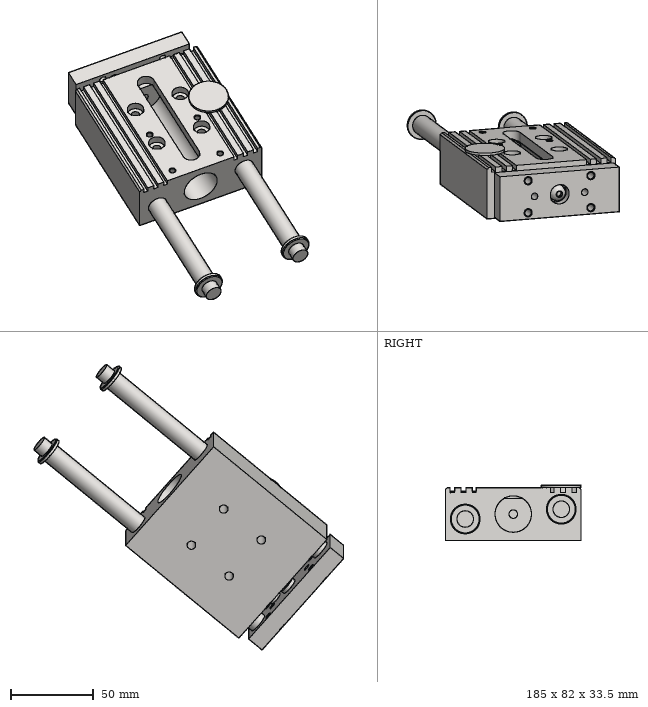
import cadquery as cq
import math


total_length = 185
plate_thickness = 10.7
housing_start = 16.0
housing_length = 90.1
housing_end = housing_start + housing_length

housing_width = 82.0
housing_height = 32.0
housing_chamfer = 1.1
mid_height = housing_height / 2

groove_edges = [(22.4, 24.8), (28.7, 31.5), (35.5, 38.1)]
groove_depth = 3.0

bore_diameter = 22.0
bore_start = 27.0
slot_width = 10.5
slot_depth = 6.5
slot_start = 24.0
slot_end = 97.7

mount_spacing = 30.0
mount_center_x = 60.9
mount_hole_diameter = 5.2
mount_counterbore_diameter = 10.0
mount_counterbore_depth = 5.0

tapped_spacing = 32.0
tapped_center_x = 83.8
tapped_mouth_diameter = 4.0
tapped_diameter = 3.3
tapped_depth = 8.0
drill_point_angle = 118

disc_diameter = 24
disc_thickness = 1.5
disc_boss_diameter = 20.0
disc_center_x = 56.5
disc_center_y = (housing_width - disc_diameter) / 2

plate_width = 76.0
plate_height = 28.0
corner_hole_spacing_y = 40.0
corner_hole_spacing_z = 20.0
corner_hole_diameter = 4.0
corner_hole_mouth_diameter = 5.0
side_hole_spacing = 32.0
side_hole_diameter = 4.0

rod_diameter = 12.0
rod_y = 29.0
rod_z_offset = 3.0
rod_places = [(-rod_y, mid_height - rod_z_offset), (rod_y, mid_height + rod_z_offset)]
collar_diameter = 18.0
collar_start = 176.7
collar_thickness = 2.2
collar_chamfer = 0.5
rod_tip_diameter = 10.0

piston_rod_diameter = 5.2
nut_diameter = 10.5
nut_thickness = 2.2
screw_recess_diameter = 12.0
screw_recess_depth = 5.5
screw_head_diameter = 10.0
screw_head_height = 5.0
screw_flat_diameter = 4.0
socket_diameter = 3.3
socket_depth = 2.0

stop_pin_diameter = 8.0
stop_pin_y = -12.5
stop_pin_z = 22.4


def x_cylinder(diameter, start, end, y=0, z=mid_height):
    """Cylinder along X from start to end."""
    return cq.Workplane("YZ", origin=(start, y, z)).circle(diameter / 2).extrude(end - start)


def square_points(center_x, spacing):
    """Corners of a square pattern around (center_x, 0)."""
    half = spacing / 2
    return [(center_x + sx * half, sy * half) for sx in (-1, 1) for sy in (-1, 1)]


def make_tapped_hole(x, y):
    """Blind hole with a chamfered mouth and a drill point, opening at the top of the housing."""
    radius = tapped_diameter / 2
    mouth_radius = tapped_mouth_diameter / 2
    mouth_depth = mouth_radius - radius
    point_depth = radius / math.tan(math.radians(drill_point_angle / 2))
    profile = [
        (0, 0),
        (mouth_radius, 0),
        (radius, -mouth_depth),
        (radius, -tapped_depth),
        (0, -tapped_depth - point_depth),
    ]
    hole = cq.Workplane("XZ").polyline(profile).close().revolve(360, (0, 0), (0, 1))
    return hole.translate((x, y, housing_height))


def make_housing():
    """Block with rod bores, top grooves, slot, mounting holes and the round disc."""
    block = cq.Workplane("XY").box(
        housing_length, housing_width, housing_height, centered=(False, True, False)
    )
    block = block.faces(">Z").edges("|X").chamfer(housing_chamfer)
    housing = block.translate((housing_start, 0, 0))

    for inner, outer in groove_edges:
        for side in (-1, 1):
            groove = cq.Workplane("XY").box(
                housing_length, outer - inner, groove_depth, centered=(False, True, False)
            )
            groove_y = side * (inner + outer) / 2
            housing = housing.cut(groove.translate((housing_start, groove_y, housing_height - groove_depth)))

    slot = (
        cq.Workplane("XY", origin=((slot_start + slot_end) / 2, 0, housing_height))
        .slot2D(slot_end - slot_start, slot_width)
        .extrude(-slot_depth)
    )
    housing = housing.cut(slot)
    housing = housing.cut(x_cylinder(bore_diameter, bore_start, housing_end))
    housing = housing.cut(x_cylinder(piston_rod_diameter, housing_start, bore_start))
    for y, z in rod_places:
        housing = housing.cut(x_cylinder(rod_diameter, housing_start, housing_end, y, z))

    mounts = cq.Workplane("XY", origin=(0, 0, housing_height))
    mounts = mounts.pushPoints(square_points(mount_center_x, mount_spacing))
    housing = housing.cut(mounts.circle(mount_hole_diameter / 2).extrude(-housing_height))
    housing = housing.cut(mounts.circle(mount_counterbore_diameter / 2).extrude(-mount_counterbore_depth))
    for x, y in square_points(tapped_center_x, tapped_spacing):
        housing = housing.cut(make_tapped_hole(x, y))

    disc = cq.Workplane("XY", origin=(disc_center_x, disc_center_y, housing_height))
    housing = housing.union(disc.circle(disc_boss_diameter / 2).extrude(-groove_depth))
    return housing.union(disc.circle(disc_diameter / 2).extrude(disc_thickness))


def make_rod(y, z):
    """Guide rod with a chamfered collar and a thinner tip at its free end."""
    collar_end = collar_start + collar_thickness
    collar = x_cylinder(collar_diameter, collar_start, collar_end, y, z).faces(">X").chamfer(collar_chamfer)
    rod = x_cylinder(rod_diameter, plate_thickness, collar_start, y, z)
    return rod.union(collar).union(x_cylinder(rod_tip_diameter, collar_end, total_length, y, z))


def make_screw_head():
    """Domed screw head with a round socket, on the floor of the plate's recess."""
    rim_radius = screw_head_diameter / 2
    flat_radius = screw_flat_diameter / 2
    base_x = screw_recess_depth
    front_x = screw_recess_depth - screw_head_height
    bend = math.sqrt(0.5)
    head = (
        cq.Workplane("XY")
        .moveTo(base_x, 0)
        .lineTo(base_x, rim_radius)
        .threePointArc(
            (base_x - bend * screw_head_height, flat_radius + bend * (rim_radius - flat_radius)),
            (front_x, flat_radius),
        )
        .lineTo(front_x, 0)
        .close()
        .revolve(360, (0, 0), (1, 0))
        .translate((0, 0, mid_height))
    )
    return head.cut(x_cylinder(socket_diameter, front_x, front_x + socket_depth))


def make_slide():
    """Tooling plate with its holes, the guide rods, the piston rod and the stop pin."""
    slide = cq.Workplane("XY").box(plate_thickness, plate_width, plate_height, centered=(False, True, True))
    slide = slide.translate((0, 0, mid_height))

    mouth_depth = (corner_hole_mouth_diameter - corner_hole_diameter) / 2
    for side in (-1, 1):
        y = side * corner_hole_spacing_y / 2
        for level in (-1, 1):
            z = mid_height + level * corner_hole_spacing_z / 2
            slide = slide.cut(x_cylinder(corner_hole_diameter, 0, plate_thickness, y, z))
            slide = slide.cut(x_cylinder(corner_hole_mouth_diameter, 0, mouth_depth, y, z))
        slide = slide.cut(x_cylinder(side_hole_diameter, 0, plate_thickness, side * side_hole_spacing / 2))

    slide = slide.cut(x_cylinder(screw_recess_diameter, 0, screw_recess_depth))
    slide = slide.union(make_screw_head())
    slide = slide.union(x_cylinder(nut_diameter, plate_thickness, plate_thickness + nut_thickness))
    slide = slide.union(x_cylinder(piston_rod_diameter, plate_thickness, bore_start))
    slide = slide.union(x_cylinder(stop_pin_diameter, plate_thickness, housing_start, stop_pin_y, stop_pin_z))
    for y, z in rod_places:
        slide = slide.union(make_rod(y, z))
    return slide


housing = make_housing()
slide = make_slide()

result = cq.Compound.makeCompound([housing.val(), slide.val()])